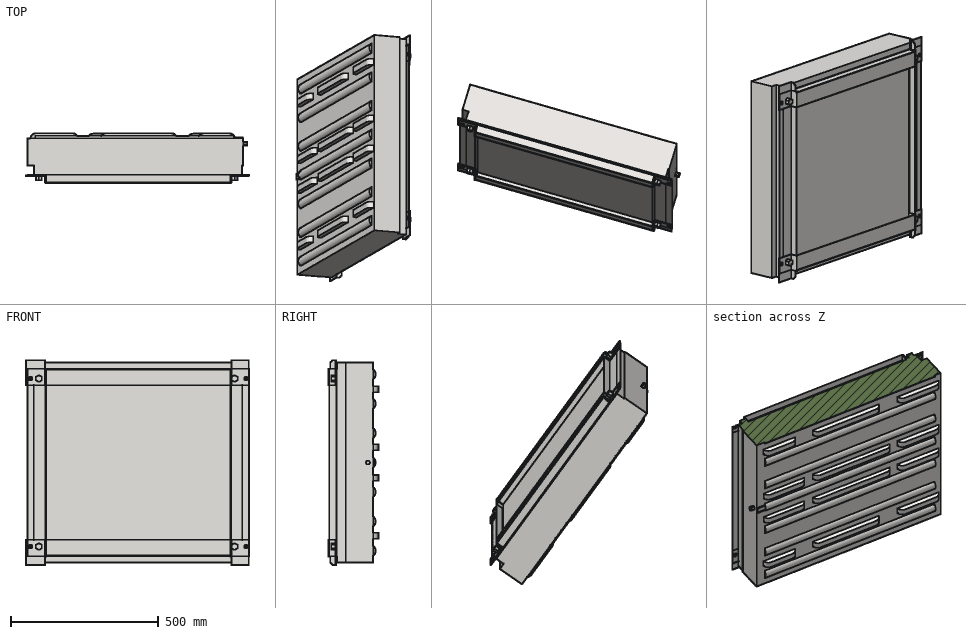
import cadquery as cq
import math

WIDTH = 758.3
DEPTH = 170.0
HEIGHT = 697.0
BACK_Y = DEPTH / 2
FRONT_Y = -DEPTH / 2

BOX_LEFT = -374.0
BOX_RIGHT = 359.0
STEP_LEFT = -352.0
STEP_RIGHT = 356.0
BOX_HEIGHT = 681.0
BOX_BACK_Y = 67.0
STEP_Y = -25.5
BOX_FRONT_Y = -56.3

SHEET = 2.5
FRAME_CENTER_X = 2.5
FRAME_LEFT = -373.0
FRAME_RIGHT = WIDTH / 2
FRAME_HEIGHT = 637.0
FRAME_WALL_SPAN = 631.0
FRAME_BEND = 3.2
FLANGE_FRONT_Y = BOX_FRONT_Y - SHEET
FRAME_FRONT_Y = FRONT_Y + SHEET

BRACKET_SPAN = FRAME_WALL_SPAN + 2 * SHEET
BRACKET_INNER_Z = 263.0
BRACKET_CORNER_Z = 319.5
BRACKET_PLATE_Z = FRAME_HEIGHT / 2 - FRAME_BEND
BRACKET_BEND = 5.0
EAR_LEFT = -WIDTH / 2
EAR_RIGHT = 378.3
EAR_FRONT_Y = FLANGE_FRONT_Y - SHEET
TAB_FRONT_Y = -79.5
TAB_CHAMFER = 9.0

FASTENER_Z = 285.5
HOLE_DIAMETER = 11.0
EAR_HOLE_X = (-365.0, 367.5)
FRAME_HOLE_SHIFT = 2.5
BOLT_X = (-335.0, 330.0)
BOLT_FLATS = 20.0
BOLT_HEAD = 14.5
HEX_SIDES = 6

RIB_COUNT = 7
RIB_PITCH = 100.0
RIB_LEFT = -348.0
RIB_RIGHT = 327.0
RIB_WIDTH = 33.0
RIB_RISE = 8.5

BAR_HEIGHT = 21.0
BAR_ROUND = 22.0
OUTER_BAR_Z = 249.0
INNER_BAR_Z = 52.0
SHALLOW_BAR_Y = BACK_Y - 1.5
LEFT_BAR = (-365.0, -201.0)
OUTER_MIDDLE_BAR = (-127.0, 136.0)
OUTER_RIGHT_BAR = (206.0, 332.0)
INNER_MIDDLE_BAR = (-171.0, 136.0)
INNER_RIGHT_BAR = (169.0, 332.0)

CONNECTOR_CORNERS = 14.5
CONNECTOR_TIP_X = 373.5
CONNECTOR_Y = 49.0
PAD_RIGHT = 357.0
PAD_BACK_Y = 71.0
PAD_HEIGHT = 20.0


def block(x_range, y_range, z_range):
    """Box between pairs of X, Y and Z limits."""
    starts = [min(limits) for limits in (x_range, y_range, z_range)]
    sizes = [abs(limits[1] - limits[0]) for limits in (x_range, y_range, z_range)]
    return cq.Workplane("XY").box(*sizes, centered=False).translate(tuple(starts))


def centered(span, middle=0.0):
    """Limits of a span placed around its middle."""
    return (middle - span / 2, middle + span / 2)


def make_housing():
    """Rear box with the narrower front step."""
    z_range = centered(BOX_HEIGHT)
    rear = block((BOX_LEFT, BOX_RIGHT), (STEP_Y, BOX_BACK_Y), z_range)
    step = block((STEP_LEFT, STEP_RIGHT), (BOX_FRONT_Y, STEP_Y), z_range)
    return rear.union(step)


def make_frame():
    """Flange around four upright walls, open at the front down to the housing."""
    z_range = centered(FRAME_HEIGHT)
    wall_x = centered(FRAME_WALL_SPAN, FRAME_CENTER_X)
    opening_x = centered(FRAME_WALL_SPAN - 2 * SHEET, FRAME_CENTER_X)
    opening_z = centered(FRAME_HEIGHT - 2 * SHEET)
    flange = block((FRAME_LEFT, FRAME_RIGHT), (FLANGE_FRONT_Y, BOX_FRONT_Y), z_range)
    walls = block(wall_x, (FRAME_FRONT_Y, BOX_FRONT_Y), z_range)
    walls = walls.edges("|X and <Y").fillet(FRAME_BEND)
    return flange.union(walls).cut(block(opening_x, (FRONT_Y, BOX_FRONT_Y), opening_z))


def make_tab(outer_x, inward):
    """Upper, lower-profile end of a bracket side wall, with a clipped corner."""
    top = HEIGHT / 2
    outline = [
        (FLANGE_FRONT_Y, BRACKET_CORNER_Z),
        (TAB_FRONT_Y, BRACKET_CORNER_Z),
        (TAB_FRONT_Y, top - TAB_CHAMFER),
        (TAB_FRONT_Y + TAB_CHAMFER, top),
        (FLANGE_FRONT_Y, top),
    ]
    tab = cq.Workplane("YZ").polyline(outline).close().extrude(inward * SHEET)
    return tab.translate((outer_x, 0, 0))


def make_top_bracket():
    """Front plate relieved between its rounded bends, with side walls, tabs and ears."""
    left, right = centered(BRACKET_SPAN, FRAME_CENTER_X)
    ear_y = (EAR_FRONT_Y, FLANGE_FRONT_Y)
    ear_z = (BRACKET_INNER_Z, HEIGHT / 2)
    hat_z = (BRACKET_INNER_Z, BRACKET_CORNER_Z)
    relief_z = (BRACKET_PLATE_Z, BRACKET_CORNER_Z)
    hat = block((left, right), (FRONT_Y, FLANGE_FRONT_Y), hat_z)
    hat = hat.edges("|Z and <Y").fillet(BRACKET_BEND)
    hat = hat.cut(block((left + SHEET, right - SHEET), (FRAME_FRONT_Y, FLANGE_FRONT_Y), hat_z))
    relief_x = (left + BRACKET_BEND, right - BRACKET_BEND)
    hat = hat.cut(block(relief_x, (FRONT_Y, FRAME_FRONT_Y), relief_z))
    bracket = hat.union(block((EAR_LEFT, left + SHEET), ear_y, ear_z))
    bracket = bracket.union(block((right - SHEET, EAR_RIGHT), ear_y, ear_z))
    return bracket.union(make_tab(left, 1)).union(make_tab(right, -1))


def make_ear_bolt(x):
    """Hexagon head with two corners pointing along Z."""
    corners = BOLT_FLATS / math.cos(math.pi / HEX_SIDES)
    head = cq.Workplane("XZ").polygon(HEX_SIDES, corners).extrude(BOLT_HEAD)
    return head.rotate((0, 0, 0), (0, 1, 0), 180 / HEX_SIDES).translate((x, EAR_FRONT_Y, FASTENER_Z))


def make_sheet_hole(x, back_y):
    """Cutter through one sheet whose back face lies at back_y."""
    cutter = cq.Workplane("XZ").circle(HOLE_DIAMETER / 2).extrude(SHEET)
    return cutter.translate((x, back_y, FASTENER_Z))


def make_rib(z):
    """Shallow arched rib along X at height z."""
    rib = (
        cq.Workplane("YZ")
        .moveTo(BOX_BACK_Y, z - RIB_WIDTH / 2)
        .threePointArc((BOX_BACK_Y + RIB_RISE, z), (BOX_BACK_Y, z + RIB_WIDTH / 2))
        .close()
        .extrude(RIB_RIGHT - RIB_LEFT)
    )
    return rib.translate((RIB_LEFT, 0, 0))


def make_bar(x_range, back_y, z):
    """Bar on the back whose two ends curve down to the housing."""
    bar = block(x_range, (BOX_BACK_Y - BAR_ROUND, back_y), centered(BAR_HEIGHT, z))
    return bar.edges("|Z and >Y").fillet(BAR_ROUND)


def make_connector():
    """Hexagonal stub on the side of the housing."""
    length = CONNECTOR_TIP_X - BOX_RIGHT
    body = cq.Workplane("YZ").polygon(HEX_SIDES, CONNECTOR_CORNERS).extrude(length)
    return body.translate((BOX_RIGHT, CONNECTOR_Y, 0))


def make_pad():
    """Low pad between the rib ends and the side of the housing."""
    return block((RIB_RIGHT, PAD_RIGHT), (BOX_BACK_Y, PAD_BACK_Y), centered(PAD_HEIGHT))


def mirrored_pair(top_part):
    """A part of the upper half together with its image in the lower half."""
    return top_part.union(top_part.mirror("XY"))


result = make_housing().union(make_frame()).union(mirrored_pair(make_top_bracket()))

for bolt_x in BOLT_X:
    result = result.union(mirrored_pair(make_ear_bolt(bolt_x)))

for hole_x in EAR_HOLE_X:
    result = result.cut(mirrored_pair(make_sheet_hole(hole_x, FLANGE_FRONT_Y)))
    result = result.cut(mirrored_pair(make_sheet_hole(hole_x + FRAME_HOLE_SHIFT, BOX_FRONT_Y)))

for index in range(RIB_COUNT):
    result = result.union(make_rib((index - (RIB_COUNT - 1) / 2) * RIB_PITCH))

for bar_range in (LEFT_BAR, OUTER_MIDDLE_BAR, OUTER_RIGHT_BAR):
    result = result.union(mirrored_pair(make_bar(bar_range, BACK_Y, OUTER_BAR_Z)))

result = result.union(mirrored_pair(make_bar(LEFT_BAR, BACK_Y, INNER_BAR_Z)))
for bar_range in (INNER_MIDDLE_BAR, INNER_RIGHT_BAR):
    result = result.union(mirrored_pair(make_bar(bar_range, SHALLOW_BAR_Y, INNER_BAR_Z)))

result = result.union(make_connector())
result = result.union(make_pad())